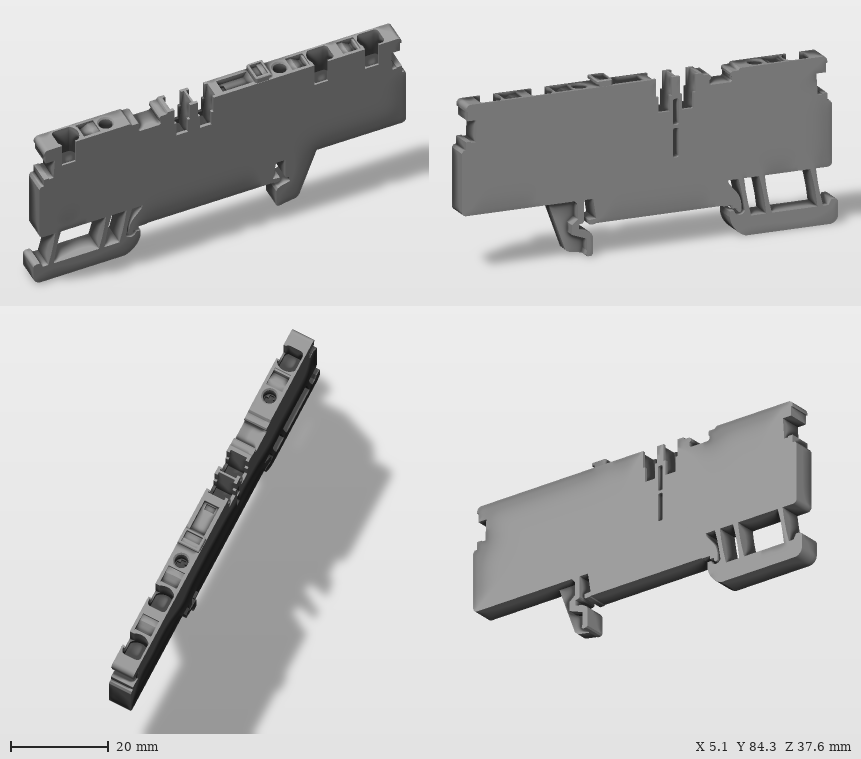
import cadquery as cq


thickness = 5.1
length = 84.3
front_x = -thickness / 2
back_x = thickness / 2
end_y = length / 2
top_z = 36.3
knob_top_z = 37.6
cut_top_z = top_z + 0.85
housing_bottom_z = 12.4
base_bottom_z = 7.1
housing_low_end_y = -40.8
corner_radius = 1.0
overlap = 0.4

fin_center_y = -5.8
fin_width = 1.8
step_inset = 0.5
slot_width = 3.55
slot_step_z = 32.4
slot_floor_z = 29.0
relief_floor_z = 27.8
slot_center_offset = (fin_width + slot_width) / 2
relief_half_x = 1.85
flare_out = 0.7

wire_pockets = [(37.7, -1), (26.2, -1), (-36.1, 1)]
pocket_length = 5.2
pocket_half_x = 2.1
pocket_corner = 0.85
pocket_arc_rise = 1.0
pocket_depth = 6.75
window_upper_margin = 1.7
window_lower_margin = 0.4
window_depth = 5.5
lever_start = 5.5
lever_end = 9.45
lever_half_x = 1.85
screw_centers_y = [14.8, -24.6]


def plate(points, x_from=front_x, x_to=back_x):
    """Extrude a closed (Y, Z) polygon along X."""
    outline = cq.Workplane("YZ", origin=(x_from, 0, 0)).polyline(points).close()
    return outline.extrude(x_to - x_from)


def block(y_range, z_range, x_range=(front_x, back_x)):
    """Axis-aligned box given by its limits."""
    (y0, y1), (z0, z1), (x0, x1) = sorted(y_range), z_range, x_range
    return cq.Workplane("XY").box(x1 - x0, y1 - y0, z1 - z0, centered=False).translate((x0, y0, z0))


def end_notch(y_out, y_top, y_shelf, y_undercut_top, y_undercut, y_lip, outward):
    """Material removed from an upper corner: label hook above, undercut notch, stepped shelf below."""
    hook_z, notch_top_z, notch_floor_z, lip_z, shelf_z = 34.8, 32.8, 28.1, 28.3, 26.6
    beyond_y = y_out + outward
    hook_y = y_top - 0.4 * outward
    return plate([
        (beyond_y, cut_top_z), (y_top, cut_top_z), (y_top, hook_z), (hook_y, hook_z),
        (hook_y, notch_top_z), (y_undercut_top, notch_top_z), (y_undercut, notch_floor_z),
        (y_lip, notch_floor_z), (y_lip, lip_z), (y_shelf, lip_z), (y_shelf, shelf_z),
        (y_out - 0.5 * outward, shelf_z), (y_out, shelf_z - 0.6), (beyond_y, shelf_z - 0.6),
    ])


def housing_shell():
    """Main plate with rounded corners and a notch at each upper end."""
    shell = block((housing_low_end_y, end_y), (housing_bottom_z, top_z))
    shell = shell.edges("|X and <Z").fillet(corner_radius)
    shell = shell.cut(end_notch(end_y, 41.2, 41.25, 38.8, 39.05, 40.1, 0.85))
    shell = shell.cut(end_notch(housing_low_end_y, -39.7, -39.7, -37.3, -37.6, -38.6, -0.85))
    return shell.edges("|X and >Z").fillet(corner_radius)


def rail_base():
    """Step that sits on the rail, with a small lip at +Y and a curved hook at -Y."""
    base_top_z = housing_bottom_z + overlap
    slab = plate([
        (12.7, base_top_z), (12.7, housing_bottom_z), (12.1, 8.1), (13.7, 7.9), (13.7, 7.25), (13.4, 6.9),
        (12.3, 6.9), (12.15, base_bottom_z), (-17.7, base_bottom_z), (-17.5, base_top_z),
    ])
    hook = (
        cq.Workplane("YZ", origin=(front_x, 0, 0))
        .moveTo(-17.5, housing_bottom_z)
        .lineTo(-17.7, 11.6)
        .lineTo(-19.1, 10.0)
        .threePointArc((-20.15, 8.35), (-20.5, 6.3))
        .lineTo(-20.5, 5.65)
        .threePointArc((-20.1, 5.2), (-19.65, 5.65))
        .lineTo(-19.65, 6.15)
        .lineTo(-18.55, 6.15)
        .lineTo(-18.55, base_bottom_z - 0.2)
        .lineTo(-16.45, base_bottom_z - 0.2)
        .lineTo(-16.45, housing_bottom_z)
        .close()
        .extrude(thickness)
    )
    return slab.union(hook)


def rail_clip():
    """Full-thickness spring band backed by a thinner wedge set back from the front face."""
    wedge_front_x = 0.0
    clip_top_z = housing_bottom_z + overlap
    band = plate([
        (16.9, clip_top_z), (16.9, housing_bottom_z), (16.1, 11.5), (16.1, 8.4), (17.5, 7.3), (17.5, 5.2),
        (14.1, 4.0), (14.1, 1.4), (14.3, 0.5), (14.0, 0.2), (13.15, 0.2), (12.8, 0.5), (12.8, 4.4),
        (13.15, 5.1), (14.0, 5.6), (15.9, 6.1), (15.9, 7.25), (15.1, 7.4), (14.85, 7.7), (14.85, clip_top_z),
    ])
    wedge = plate([
        (21.9, clip_top_z), (21.9, housing_bottom_z), (18.0, 1.5), (17.2, 0.85), (13.9, 0.25),
        (13.5, 5.1), (16.45, 5.9), (15.6, 8.4), (15.6, clip_top_z),
    ], wedge_front_x)
    return band.union(wedge)


foot_top_z = 4.1
leg_width = 1.3
leg_lean = 1.6
leg_bow = 0.2
toe_radius = 1.85
toe_top_z = 5.3
toe_top_radius = 0.8
leg_tops_y = [-19.8, -24.5, -35.9]


def foot_leg(top_y):
    """Leaning leg, waisted at mid height, from the housing down to the foot bar."""
    mid_z = (housing_bottom_z + foot_top_z) / 2
    near_mid_y = top_y - leg_lean / 2 - leg_bow
    far_mid_y = top_y - leg_width - leg_lean / 2 + leg_bow
    return (
        cq.Workplane("YZ", origin=(front_x, 0, 0))
        .moveTo(top_y, housing_bottom_z + overlap)
        .lineTo(top_y, housing_bottom_z)
        .threePointArc((near_mid_y, mid_z), (top_y - leg_lean, foot_top_z))
        .lineTo(top_y - leg_lean, foot_top_z - overlap)
        .lineTo(top_y - leg_lean - leg_width, foot_top_z - overlap)
        .lineTo(top_y - leg_lean - leg_width, foot_top_z)
        .threePointArc((far_mid_y, mid_z), (top_y - leg_width, housing_bottom_z))
        .lineTo(top_y - leg_width, housing_bottom_z + overlap)
        .close()
        .extrude(thickness)
    )


def rail_foot():
    """Foot bar with a cup under the hook and an upturned toe at the -Y end."""
    bar = (
        cq.Workplane("YZ", origin=(front_x, 0, 0))
        .moveTo(-17.9, 5.65)
        .lineTo(-18.9, 5.65)
        .threePointArc((-20.15, 4.6), (-21.3, 5.65))
        .lineTo(-22.35, foot_top_z)
        .lineTo(-40.0, foot_top_z)
        .lineTo(-40.65, toe_top_z)
        .lineTo(-end_y + toe_top_radius, toe_top_z)
        .tangentArcPoint((-end_y, toe_top_z - toe_top_radius), relative=False)
        .lineTo(-end_y, toe_radius)
        .tangentArcPoint((-end_y + toe_radius, 0), relative=False)
        .lineTo(-21.4, 0)
        .threePointArc((-19.15, 1.6), (-17.9, 4.4))
        .close()
        .extrude(thickness)
    )
    for top_y in leg_tops_y:
        bar = bar.union(foot_leg(top_y))
    return bar


def stepped_slot(center_y):
    """Stepped slot through the thickness, flared in its middle."""
    upper = slot_width / 2
    lower = upper - step_inset
    flare = upper + flare_out
    steps = [(upper, cut_top_z), (upper, slot_step_z), (lower, slot_step_z), (lower, slot_floor_z)]
    flared = [(flare, cut_top_z), (flare, top_z), (lower, relief_floor_z)]

    def mirrored(half):
        right = [(center_y + y, z) for y, z in half]
        left = [(center_y - y, z) for y, z in reversed(half)]
        return right + left

    relief = plate(mirrored(flared), -relief_half_x, relief_half_x)
    return plate(mirrored(steps)).union(relief)


def label_saddle():
    """Undercut label seat between the slots and the -Y screw."""
    shelf_z, undercut_z, floor_z = 35.8, 34.6, 33.5
    return plate([
        (-11.7, cut_top_z), (-11.7, top_z), (-12.1, shelf_z), (-13.3, shelf_z), (-13.7, shelf_z - 0.3),
        (-13.7, undercut_z + 0.25), (-13.3, undercut_z), (-13.3, floor_z + 0.3), (-13.7, floor_z),
        (-18.05, floor_z), (-18.4, floor_z + 0.3), (-18.4, undercut_z), (-18.1, undercut_z + 0.25),
        (-18.1, shelf_z - 0.3), (-18.4, shelf_z), (-19.7, shelf_z), (-20.2, top_z), (-20.2, cut_top_z),
    ])


def wire_pocket(flat_end_y, direction):
    """Deep pocket with one rounded end, opened through the back wall."""
    inner_y = flat_end_y + direction * (pocket_length - pocket_arc_rise)
    tip_y = flat_end_y + direction * pocket_length
    outline = (
        cq.Workplane("XY", origin=(0, 0, top_z - pocket_depth))
        .moveTo(-pocket_half_x, flat_end_y)
        .lineTo(pocket_half_x, flat_end_y)
        .lineTo(pocket_half_x, inner_y)
        .threePointArc((0, tip_y), (-pocket_half_x, inner_y))
        .close()
        .extrude(pocket_depth)
    )
    flat_end_side = ">Y" if direction < 0 else "<Y"
    pocket = outline.faces(flat_end_side).edges("|Z").fillet(pocket_corner)
    upper_y = max(flat_end_y, tip_y) - window_upper_margin
    lower_y = min(flat_end_y, tip_y) + window_lower_margin
    window = block((lower_y, upper_y), (top_z - window_depth, top_z), (0, back_x))
    return pocket.union(window)


def lever_recess(flat_end_y, direction):
    """Shallow stepped recess over the release lever beside a wire pocket."""
    profile = [
        (lever_start, 0), (lever_start, 0.4), (lever_start + 0.4, 0.4), (lever_start + 0.7, 1.5),
        (lever_start + 1.0, 1.5), (lever_start + 1.85, 1.0), (lever_start + 2.6, 0.5), (lever_end, 0.5),
        (lever_end, 0),
    ]
    points = [(flat_end_y + direction * along, top_z - depth) for along, depth in profile]
    return plate(points, -lever_half_x, lever_half_x)


def screw_hole(center_y):
    """Round access hole with a lead-in chamfer, ending in a cross recess of the screw."""
    radius, lead_in, depth = 1.4, 0.3, 3.4
    arm_length, arm_width, cross_depth = 2.4, 1.0, 0.85
    floor_z = top_z - depth
    hole = cq.Workplane("XY", origin=(0, center_y, floor_z)).circle(radius).extrude(depth)
    cone = cq.Solid.makeCone(radius, radius + lead_in, lead_in, pnt=cq.Vector(0, center_y, top_z - lead_in))
    cross_plane = cq.Workplane("XY", origin=(0, center_y, floor_z))
    cross = cross_plane.rect(arm_length, arm_width).extrude(-cross_depth)
    cross = cross.union(cross_plane.rect(arm_width, arm_length).extrude(-cross_depth))
    return hole.union(cq.Workplane(cone)).union(cross)


def test_window():
    """Shallow window with a sloped +Y end and a deeper notch at its -Y end."""
    depth, notch_depth = 1.3, 1.85
    floor_z = top_z - depth
    window = plate([(8.0, top_z), (7.25, floor_z), (1.1, floor_z), (1.1, top_z)], -1.7, 1.7)
    return window.union(block((1.3, 2.5), (top_z - notch_depth, floor_z), (-1.1, 1.1)))


def front_slots():
    """Two narrow blind slots in the front face below the fin."""
    slot_depth, width = 1.7, 1.3
    slots = cq.Workplane("XY")
    for z_range in [(25.9, 31.55), (18.9, 25.2)]:
        y_range = (fin_center_y - width / 2, fin_center_y + width / 2)
        slot = block(y_range, z_range, (front_x, front_x + slot_depth))
        slots = slots.union(slot.edges("|X").fillet(0.3))
    return slots


def knob():
    """Slider knob overhanging at +Y, with a two-level groove in its top."""
    half_x, groove_half_x = 2.45, 1.85
    back_y, stem_back_y, front_y = 11.8, 11.1, 8.3
    overhang_z, shelf_z, groove_floor_z = 36.85, 37.1, 36.5
    cap = block((front_y, back_y), (overhang_z, knob_top_z), (-half_x, half_x))
    stem = block((front_y, stem_back_y), (top_z - overlap, overhang_z), (-half_x, half_x))
    body = cap.union(stem).clean().edges("<Y and |Z").chamfer(0.3)
    body = body.faces(">Z").edges().chamfer(0.2)
    groove = block((8.7, 10.3), (groove_floor_z, knob_top_z), (-groove_half_x, groove_half_x))
    shelf = block((10.3, 11.3), (shelf_z, knob_top_z), (-groove_half_x, groove_half_x))
    return body.cut(groove).cut(shelf)


result = housing_shell().union(rail_base()).union(rail_clip()).union(rail_foot())
result = result.cut(label_saddle()).cut(test_window()).cut(front_slots())
for side in (-1, 1):
    result = result.cut(stepped_slot(fin_center_y + side * slot_center_offset))
for flat_end, inward in wire_pockets:
    result = result.cut(wire_pocket(flat_end, inward)).cut(lever_recess(flat_end, inward))
for screw_y in screw_centers_y:
    result = result.cut(screw_hole(screw_y))
result = result.union(knob())